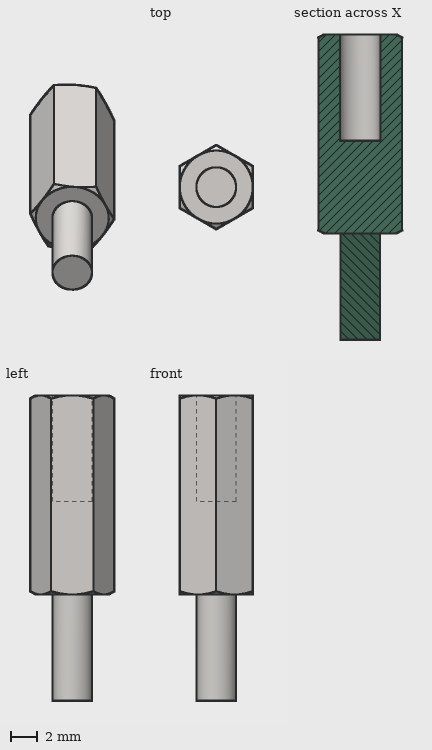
import cadquery as cq
import math

total_length = 23.0
stud_length = 8.0
body_length = total_length - stud_length

across_flats = 5.5
half_sector = 30.0
across_corners = across_flats / math.cos(math.radians(half_sector))
chamfer_angle = 30.0
chamfer_height = (across_corners - across_flats) / 2 * math.tan(math.radians(chamfer_angle))

thread_diameter = 3.0
hole_depth = 8.0


def make_chamfer_envelope():
    """Round bar with conical ends that trims the corners of the hexagon."""
    face_radius = across_flats / 2
    corner_radius = across_corners / 2
    return (
        cq.Workplane("XZ")
        .moveTo(0, 0)
        .lineTo(face_radius, 0)
        .lineTo(corner_radius, chamfer_height)
        .lineTo(corner_radius, body_length - chamfer_height)
        .lineTo(face_radius, body_length)
        .lineTo(0, body_length)
        .close()
        .revolve(360, (0, 0, 0), (0, 1, 0))
    )


def make_spacer():
    """Hexagonal spacer, chamfered at both ends, with a blind hole in its top."""
    hexagon = (
        cq.Workplane("XY")
        .polygon(6, across_corners)
        .extrude(body_length)
        .rotate((0, 0, 0), (0, 0, 1), half_sector)
    )
    hole = (
        cq.Workplane("XY")
        .workplane(offset=body_length - hole_depth)
        .circle(thread_diameter / 2)
        .extrude(hole_depth)
    )
    return hexagon.intersect(make_chamfer_envelope()).cut(hole).solids()


def make_stud():
    """Plain round stud that meets the underside of the spacer."""
    return cq.Workplane("XY").circle(thread_diameter / 2).extrude(-stud_length)


spacer = make_spacer()
stud = make_stud()

result = cq.Compound.makeCompound([spacer.val(), stud.val()])